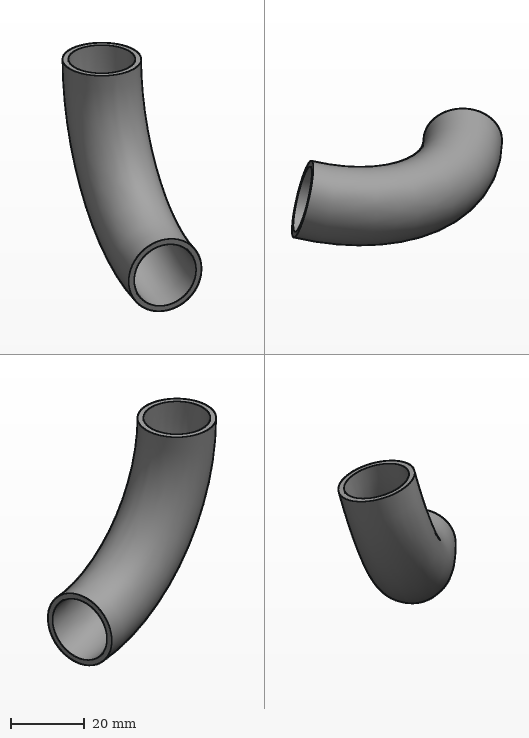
import cadquery as cq

overall_length = 55.65
outer_diameter = 21.3
wall_thickness = 1.6
bend_angle = 90.0

outer_radius = outer_diameter / 2
inner_radius = outer_radius - wall_thickness
bend_radius = overall_length - outer_radius

pipe_section = (
    cq.Workplane("XY")
    .moveTo(-bend_radius, 0)
    .circle(outer_radius)
    .moveTo(-bend_radius, 0)
    .circle(inner_radius)
)

result = pipe_section.revolve(bend_angle, (0, 0, 0), (0, -1, 0))